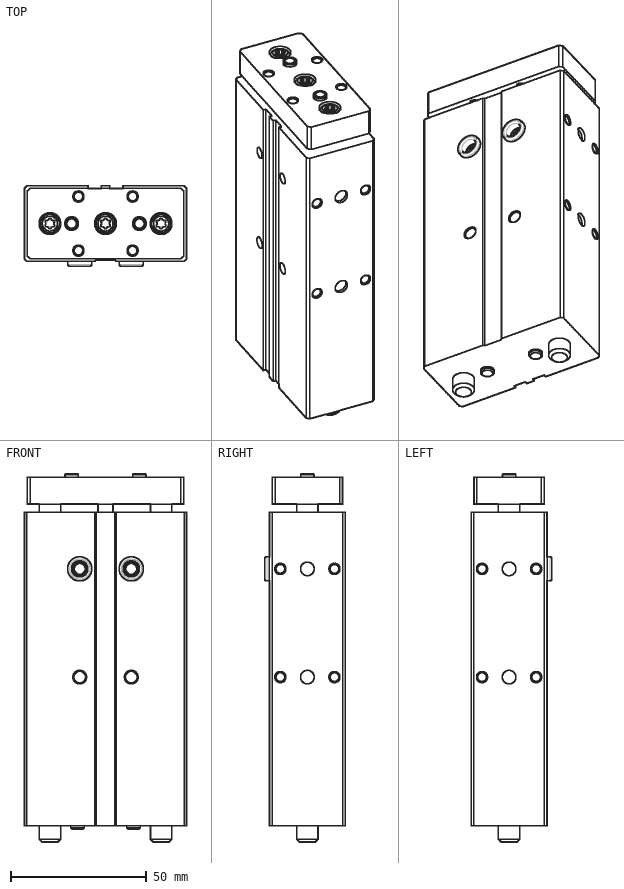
import cadquery as cq
import math


HOUSING_WIDTH = 60.0
HOUSING_DEPTH = 28.0
HOUSING_HEIGHT = 116.0
HOUSING_EDGE = 1.0

FRONT_GROOVE_WIDTH = 8.0
FRONT_GROOVE_DEPTH = 0.5
FRONT_GROOVE_SLOPE = 0.5

BACK_SLOT_OUTER_WIDTH = 12.8
BACK_RIB_WIDTH = 3.3
BACK_SLOT_DEPTH = 1.1

UPPER_LEVEL = HOUSING_HEIGHT - 21.0
LEVEL_PITCH = 40.0
HOLE_LEVELS = [UPPER_LEVEL, UPPER_LEVEL - LEVEL_PITCH]

FRONT_HOLE_X = 9.5
LOWER_HOLE_DIAMETER = 4.4
UPPER_HOLE_DIAMETER = 4.1
FRONT_HOLE_MOUTH = 5.0

THREAD_PITCH = 20.0
THREAD_OFFSET = THREAD_PITCH / 2
THREAD_DIAMETER = 3.3
THREAD_MOUTH = 4.1
SIDE_THREAD_DEPTH = 8.0
DRILL_POINT_ANGLE = 118

SIDE_RECESS_DIAMETER = 5.0
SIDE_RECESS_DEPTH = 1.2

COLLAR_DIAMETER = 5.0
COLLAR_HEIGHT = 1.2
COLLAR_EDGE = 0.3
PLATE_COLLAR_X = 12.5
COLLAR_BORE_DIAMETER = 3.5
COLLAR_BORE_MOUTH = 3.8
COLLAR_BORE_DEPTH = 8.0
FOOT_COLLAR_X = 10.3
FOOT_COLLAR_EDGE = 0.5

PLATE_WIDTH = 58.0
PLATE_DEPTH = 26.0
PLATE_THICKNESS = 10.0
PLATE_EDGE = 1.1
PLATE_GAP = 3.0
PLATE_BOTTOM = HOUSING_HEIGHT + PLATE_GAP
PLATE_TOP = PLATE_BOTTOM + PLATE_THICKNESS

ROD_X = 20.5
GUIDE_ROD_DIAMETER = 8.0
GUIDE_ROD_OVERHANG = 6.0
GUIDE_ROD_CHAMFER = 1.1
PISTON_ROD_DIAMETER = 5.6
PISTON_ROD_DEPTH = 81.7

SCREW_POSITIONS = [-ROD_X, 0, ROD_X]
COUNTERBORE_DIAMETER = 8.0
COUNTERBORE_DEPTH = 4.8
SCREW_HEAD_DIAMETER = 7.0
SCREW_HEAD_HEIGHT = 4.6
SCREW_HEAD_CHAMFER = 0.7
SCREW_SHANK_DIAMETER = 4.1
SCREW_ENGAGEMENT = 8.2
SOCKET_DEPTH = 2.0
SOCKET_CORE_RADIUS = 1.5
SOCKET_LOBE_RADIUS = 0.48
SOCKET_LOBES = 6

SLEEVE_DIAMETER = 9.0
SLEEVE_BORE = 6.0
SLEEVE_PROTRUSION = 1.8
SLEEVE_SEAT_DEPTH = 2.0
SLEEVE_EDGE = 0.7

FRONT_FACE = -HOUSING_DEPTH / 2
BACK_FACE = HOUSING_DEPTH / 2


def cylinder(diameter, start, length, axis):
    """Cylinder of the given length whose axis runs from start along the direction vector."""
    return cq.Workplane(cq.Solid.makeCylinder(diameter / 2, length, cq.Vector(*start), cq.Vector(*axis)))


def countersink(mouth, diameter, start, axis):
    """45 degree cone that narrows from the mouth diameter to the hole diameter."""
    depth = (mouth - diameter) / 2
    return cq.Workplane(
        cq.Solid.makeCone(mouth / 2, diameter / 2, depth, cq.Vector(*start), cq.Vector(*axis))
    )


def blind_hole(mouth, diameter, depth, start, axis):
    """Cutter for a countersunk blind hole that ends in a drill point."""
    point_height = diameter / 2 / math.tan(math.radians(DRILL_POINT_ANGLE / 2))
    bottom = cq.Vector(*start) + cq.Vector(*axis) * depth
    point = cq.Solid.makeCone(diameter / 2, 0, point_height, bottom, cq.Vector(*axis))
    bore = cylinder(diameter, start, depth, axis)
    return bore.union(cq.Workplane(point)).union(countersink(mouth, diameter, start, axis))


def make_housing_block():
    block = cq.Workplane("XY").box(HOUSING_WIDTH, HOUSING_DEPTH, HOUSING_HEIGHT, centered=(True, True, False))
    block = block.edges("|Z").chamfer(HOUSING_EDGE)

    half_mouth = FRONT_GROOVE_WIDTH / 2
    half_floor = half_mouth - FRONT_GROOVE_SLOPE
    floor = FRONT_FACE + FRONT_GROOVE_DEPTH
    front_groove = (
        cq.Workplane("XY")
        .moveTo(-half_mouth, FRONT_FACE)
        .lineTo(half_mouth, FRONT_FACE)
        .lineTo(half_floor, floor)
        .lineTo(-half_floor, floor)
        .close()
        .extrude(HOUSING_HEIGHT)
    )
    block = block.cut(front_groove)

    slot_width = (BACK_SLOT_OUTER_WIDTH - BACK_RIB_WIDTH) / 2
    slot_x = (BACK_RIB_WIDTH + slot_width) / 2
    back_slots = (
        cq.Workplane("XY")
        .pushPoints([(-slot_x, BACK_FACE - BACK_SLOT_DEPTH / 2), (slot_x, BACK_FACE - BACK_SLOT_DEPTH / 2)])
        .rect(slot_width, BACK_SLOT_DEPTH)
        .extrude(HOUSING_HEIGHT)
    )
    return block.cut(back_slots)


def cut_front_holes(housing):
    """Through holes from front to back; the upper pair also gets seats for the sleeves."""
    inward = (0, 1, 0)
    for x in (-FRONT_HOLE_X, FRONT_HOLE_X):
        for z in HOLE_LEVELS:
            entry = (x, FRONT_FACE, z)
            diameter = LOWER_HOLE_DIAMETER
            if z == UPPER_LEVEL:
                diameter = UPPER_HOLE_DIAMETER
                housing = housing.cut(cylinder(SLEEVE_DIAMETER, entry, SLEEVE_SEAT_DEPTH, inward))
                entry = (x, FRONT_FACE + SLEEVE_SEAT_DEPTH, z)
            housing = housing.cut(cylinder(diameter, entry, HOUSING_DEPTH, inward))
            housing = housing.cut(countersink(FRONT_HOLE_MOUTH, diameter, entry, inward))
    return housing


def cut_side_holes(housing):
    """Threaded holes and a shallow centring recess at each level of both narrow sides."""
    for side in (-1, 1):
        face = side * HOUSING_WIDTH / 2
        inward = (-side, 0, 0)
        for z in HOLE_LEVELS:
            housing = housing.cut(cylinder(SIDE_RECESS_DIAMETER, (face, 0, z), SIDE_RECESS_DEPTH, inward))
            for y in (-THREAD_OFFSET, THREAD_OFFSET):
                thread = blind_hole(THREAD_MOUTH, THREAD_DIAMETER, SIDE_THREAD_DEPTH, (face, y, z), inward)
                housing = housing.cut(thread)
    return housing


def cut_rod_bores(housing):
    for x in (-ROD_X, ROD_X):
        housing = housing.cut(cylinder(GUIDE_ROD_DIAMETER, (x, 0, 0), HOUSING_HEIGHT, (0, 0, 1)))
    return housing.cut(cylinder(PISTON_ROD_DIAMETER, (0, 0, HOUSING_HEIGHT), PISTON_ROD_DEPTH, (0, 0, -1)))


def make_housing():
    housing = cut_rod_bores(cut_side_holes(cut_front_holes(make_housing_block())))
    for x in (-FOOT_COLLAR_X, FOOT_COLLAR_X):
        collar = cylinder(COLLAR_DIAMETER, (x, 0, 0), COLLAR_HEIGHT, (0, 0, -1))
        housing = housing.union(collar.faces("<Z").chamfer(FOOT_COLLAR_EDGE))
    return housing


def make_plate():
    plate = (
        cq.Workplane("XY", origin=(0, 0, PLATE_BOTTOM))
        .box(PLATE_WIDTH, PLATE_DEPTH, PLATE_THICKNESS, centered=(True, True, False))
        .edges("|Z")
        .chamfer(PLATE_EDGE)
    )
    down = (0, 0, -1)

    for x in SCREW_POSITIONS:
        plate = plate.cut(cylinder(COUNTERBORE_DIAMETER, (x, 0, PLATE_TOP), COUNTERBORE_DEPTH, down))
        plate = plate.cut(cylinder(SCREW_SHANK_DIAMETER, (x, 0, PLATE_TOP), PLATE_THICKNESS, down))

    for x in (-THREAD_OFFSET, THREAD_OFFSET):
        for y in (-THREAD_OFFSET, THREAD_OFFSET):
            plate = plate.cut(cylinder(THREAD_DIAMETER, (x, y, PLATE_TOP), PLATE_THICKNESS, down))
            plate = plate.cut(countersink(THREAD_MOUTH, THREAD_DIAMETER, (x, y, PLATE_TOP), down))

    for x in (-PLATE_COLLAR_X, PLATE_COLLAR_X):
        collar = cylinder(COLLAR_DIAMETER, (x, 0, PLATE_TOP), COLLAR_HEIGHT, (0, 0, 1))
        plate = plate.union(collar.faces(">Z").chamfer(COLLAR_EDGE))
        mouth = (x, 0, PLATE_TOP + COLLAR_HEIGHT)
        plate = plate.cut(blind_hole(COLLAR_BORE_MOUTH, COLLAR_BORE_DIAMETER, COLLAR_BORE_DEPTH, mouth, down))
    return plate


def cut_screw_thread(rod, x):
    """Hole in the upper end of a rod for its screw."""
    return rod.cut(cylinder(SCREW_SHANK_DIAMETER, (x, 0, PLATE_BOTTOM), SCREW_ENGAGEMENT, (0, 0, -1)))


def make_guide_rod(x):
    length = GUIDE_ROD_OVERHANG + PLATE_BOTTOM
    rod = cylinder(GUIDE_ROD_DIAMETER, (x, 0, -GUIDE_ROD_OVERHANG), length, (0, 0, 1))
    return cut_screw_thread(rod.faces("<Z").chamfer(GUIDE_ROD_CHAMFER), x)


def make_piston_rod():
    length = PISTON_ROD_DEPTH + PLATE_GAP
    return cut_screw_thread(cylinder(PISTON_ROD_DIAMETER, (0, 0, PLATE_BOTTOM), length, (0, 0, -1)), 0)


def make_screw(x):
    """Cap screw with a six-lobed socket, its head sunk in the plate."""
    seat = PLATE_TOP - COUNTERBORE_DEPTH
    head_top = seat + SCREW_HEAD_HEIGHT
    shank_length = seat - PLATE_BOTTOM + SCREW_ENGAGEMENT
    down = (0, 0, -1)
    head = cylinder(SCREW_HEAD_DIAMETER, (x, 0, seat), SCREW_HEAD_HEIGHT, (0, 0, 1))
    screw = head.faces(">Z").chamfer(SCREW_HEAD_CHAMFER)
    screw = screw.union(cylinder(SCREW_SHANK_DIAMETER, (x, 0, seat), shank_length, down))

    screw = screw.cut(cylinder(2 * SOCKET_CORE_RADIUS, (x, 0, head_top), SOCKET_DEPTH, down))
    for lobe in range(SOCKET_LOBES):
        angle = math.radians(90) + lobe * math.tau / SOCKET_LOBES
        lobe_x = x + SOCKET_CORE_RADIUS * math.cos(angle)
        lobe_y = SOCKET_CORE_RADIUS * math.sin(angle)
        screw = screw.cut(cylinder(2 * SOCKET_LOBE_RADIUS, (lobe_x, lobe_y, head_top), SOCKET_DEPTH, down))
    return screw


def make_sleeve(x):
    """Centring sleeve with a rounded end that stands out of the front face of the housing."""
    outer_end = (x, FRONT_FACE - SLEEVE_PROTRUSION, UPPER_LEVEL)
    length = SLEEVE_PROTRUSION + SLEEVE_SEAT_DEPTH
    sleeve = cylinder(SLEEVE_DIAMETER, outer_end, length, (0, 1, 0))
    sleeve = sleeve.cut(cylinder(SLEEVE_BORE, outer_end, length, (0, 1, 0)))
    return sleeve.faces("<Y").edges().fillet(SLEEVE_EDGE)


housing = make_housing()
plate = make_plate()
piston_rod = make_piston_rod()
guide_rods = [make_guide_rod(x) for x in (-ROD_X, ROD_X)]
screws = [make_screw(x) for x in SCREW_POSITIONS]
sleeves = [make_sleeve(x) for x in (-FRONT_HOLE_X, FRONT_HOLE_X)]

result = cq.Compound.makeCompound(
    [
        housing.val(),
        plate.val(),
        piston_rod.val(),
        *[rod.val() for rod in guide_rods],
        *[screw.val() for screw in screws],
        *[sleeve.val() for sleeve in sleeves],
    ]
)